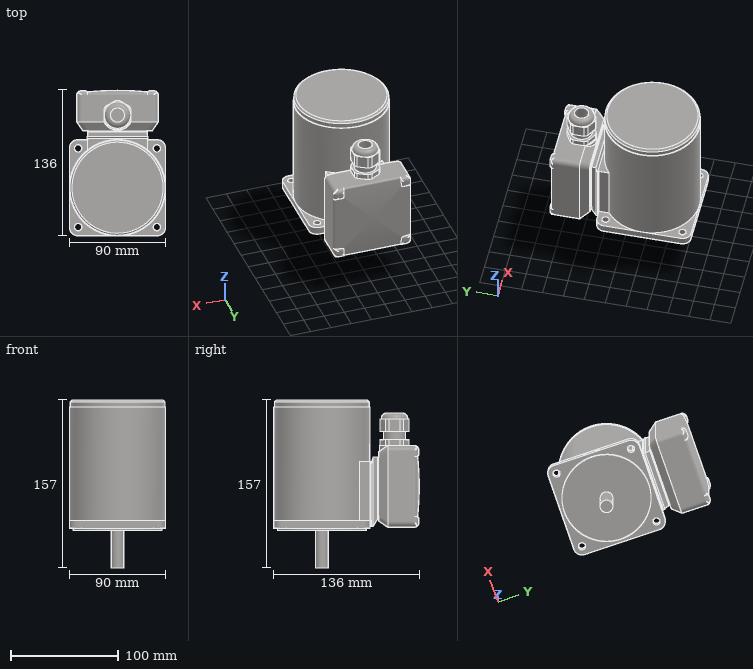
import cadquery as cq
import math

flange_side = 90.0
overall_depth = 136.0
flange_corner_radius = 8.2
flange_hole_offset = 36.7
flange_hole_diameter = 6.6
shaft_radius = 6.0
spigot_radius = 41.6
housing_radius = flange_side / 2
cap_radius = 44.5
cap_chamfer = 1.9

spigot_bottom = 35.0
flange_bottom = 37.0
flange_top = 44.6
cap_bottom = 150.2
motor_top = 157.0

pad_half_width = 28.0
pad_shoulder_y = flange_side / 2
pad_tip_half_width = 27.6
pad_face_y = 46.0
pad_bottom = flange_top
pad_top = 99.5

box_side = 76.5
box_center_z = 76.3
box_corner_radius = 5.2
box_front_y = 53.0
box_bevel_end_y = 61.5
box_bevel_inset = 5.8
box_rear_y = 86.0
box_half = box_side / 2
box_top = box_center_z + box_half

base_lip_y = 47.9
base_rear_y = 52.1
base_top = 104.0
base_top_at_pad = 97.3
base_bottom = 39.0
base_bottom_at_rear = 45.7
base_lip_half_width = 28.5
base_half_width_at_lip = 28.1
base_half_width_at_rear = 27.8
neck_half_width = 27.5
neck_bottom = 48.7
neck_top = 103.6

lid_peak_y = overall_depth - flange_side / 2
lid_rim_y = 88.5
lid_rim_inset = 1.9
lid_boss_rear_y = 90.6
lid_boss_side = 10.2
lid_boss_edge_radius = 4.4
lid_boss_inner_radius = 2.4

gland_y = 67.8
gland_boss_radius = 14.1
nut_across_flats = 25.3
nut_corner_radius = 13.7
gland_neck_radius = 10.4
lower_nut_top = 120.0
upper_nut_bottom = 127.5
upper_nut_top = 139.4
dome_base_radius = 12.4
dome_top_radius = 7.5
dome_top = 144.9
gland_bore_radius = 6.6


def disc(radius, bottom, top, y=0):
    """Vertical cylinder between two heights."""
    return cq.Workplane("XY", origin=(0, y, bottom)).circle(radius).extrude(top - bottom)


def slab(half_width, front_y, rear_y, bottom, top):
    """Upright block centred on X = 0."""
    return (
        cq.Workplane("XY", origin=(0, 0, bottom))
        .center(0, (front_y + rear_y) / 2)
        .rect(2 * half_width, rear_y - front_y)
        .extrude(top - bottom)
    )


def make_flange():
    span = 2 * flange_hole_offset
    return (
        cq.Workplane("XY", origin=(0, 0, flange_bottom))
        .rect(flange_side, flange_side)
        .extrude(flange_top - flange_bottom)
        .edges("|Z")
        .fillet(flange_corner_radius)
        .faces(">Z")
        .workplane(origin=(0, 0, flange_top))
        .rect(span, span, forConstruction=True)
        .vertices()
        .hole(flange_hole_diameter)
    )


def make_pad():
    """Mounting pad for the terminal box, slightly narrower past the flange edge."""
    pad = slab(pad_half_width, 0, pad_shoulder_y, pad_bottom, pad_top)
    tip = slab(pad_tip_half_width, pad_shoulder_y, pad_face_y, pad_bottom, pad_top)
    return pad.union(tip).clean()


def make_motor():
    shaft = disc(shaft_radius, 0, flange_bottom)
    spigot = disc(spigot_radius, spigot_bottom, flange_bottom)
    housing = disc(housing_radius, flange_top, cap_bottom)
    cap = disc(cap_radius, cap_bottom, motor_top).faces(">Z").chamfer(cap_chamfer)
    return make_flange().union(spigot).union(shaft).union(housing).union(cap).union(make_pad())


def rounded_square(side):
    return cq.Sketch().rect(side, side).vertices().fillet(box_corner_radius)


def box_plane(y):
    """Upright plane centred on the box that faces away from the motor."""
    return cq.Workplane(cq.Plane(origin=(0, y, box_center_z), xDir=(-1, 0, 0), normal=(0, 1, 0)))


def box_slab(front_y, rear_y):
    """Block with the full rounded outline of the box."""
    return box_plane(front_y).placeSketch(rounded_square(box_side)).extrude(rear_y - front_y)


def make_box_shell():
    front_outline = rounded_square(box_side - 2 * box_bevel_inset)
    bevel_shift = cq.Location(cq.Vector(0, 0, box_bevel_end_y - box_front_y))
    rear_outline = rounded_square(box_side).moved(bevel_shift)
    bevel = box_plane(box_front_y).placeSketch(front_outline, rear_outline).loft(ruled=True)
    return box_slab(box_bevel_end_y, box_rear_y).union(bevel)


def make_base():
    """Sloping side profile trimmed to a flared plan outline, with the neck on its rear face."""
    side_profile = (
        cq.Workplane("YZ")
        .polyline([
            (base_rear_y, base_top),
            (base_lip_y, base_top),
            (pad_face_y, base_top_at_pad),
            (pad_face_y, base_bottom),
            (base_lip_y, base_bottom),
            (base_rear_y, base_bottom_at_rear),
        ])
        .close()
        .extrude(base_lip_half_width, both=True)
    )
    plan_outline = (
        cq.Workplane("XY", origin=(0, 0, base_bottom))
        .polyline([
            (-base_lip_half_width, pad_face_y),
            (base_lip_half_width, pad_face_y),
            (base_lip_half_width, base_lip_y),
            (base_half_width_at_lip, base_lip_y),
            (base_half_width_at_rear, base_rear_y),
            (-base_half_width_at_rear, base_rear_y),
            (-base_half_width_at_lip, base_lip_y),
            (-base_lip_half_width, base_lip_y),
        ])
        .close()
        .extrude(base_top - base_bottom)
    )
    neck = slab(neck_half_width, base_rear_y, box_front_y, neck_bottom, neck_top)
    return side_profile.intersect(plan_outline).union(neck)


def lid_vault():
    """Shallow vault across X with rounded rims, centred on the height of the box."""
    rim = box_half - lid_rim_inset
    rim_height = lid_rim_y - box_rear_y
    diagonal = math.sqrt(0.5)
    arc_x = rim + lid_rim_inset * diagonal
    arc_y = box_rear_y + rim_height * diagonal
    return (
        cq.Workplane("XY", origin=(0, 0, box_center_z))
        .moveTo(-box_half, box_rear_y)
        .lineTo(box_half, box_rear_y)
        .threePointArc((arc_x, arc_y), (rim, lid_rim_y))
        .threePointArc((0, lid_peak_y), (-rim, lid_rim_y))
        .threePointArc((-arc_x, arc_y), (-box_half, box_rear_y))
        .close()
        .extrude(box_half, both=True)
    )


def make_lid():
    """Crossing vaults give a low dome with a level rim; bosses stand at its corners."""
    height = lid_boss_rear_y - box_rear_y
    outline = box_slab(box_rear_y, lid_peak_y)
    crossed = lid_vault().rotate((0, 0, box_center_z), (0, 1, box_center_z), 90)
    lid = lid_vault().intersect(crossed).intersect(outline)

    plate = box_slab(box_rear_y, lid_boss_rear_y)
    plate = plate.faces(">Y").edges().fillet(lid_boss_edge_radius)
    post_side = 2 * lid_boss_side
    for x_sign in (-1, 1):
        for z_sign in (-1, 1):
            post = (
                cq.Workplane("XY")
                .box(post_side, 2 * height, post_side)
                .edges("|Y or >Y")
                .fillet(lid_boss_inner_radius)
                .translate((x_sign * box_half, box_rear_y, box_center_z + z_sign * box_half))
            )
            lid = lid.union(post.intersect(plate))
    return lid


def make_nut(bottom, top):
    """Hexagon with flats facing X and its corners turned round."""
    across_corners = nut_across_flats / math.cos(math.pi / 6)
    hexagon = (
        cq.Workplane("XY", origin=(0, gland_y, bottom))
        .polygon(6, across_corners)
        .extrude(top - bottom)
        .rotate((0, gland_y, 0), (0, gland_y, 1), 90)
    )
    return hexagon.intersect(disc(nut_corner_radius, bottom, top, gland_y))


def make_gland_dome():
    width = dome_base_radius - dome_top_radius
    height = dome_top - upper_nut_top
    diagonal = math.sqrt(0.5)
    arc_middle = (dome_top_radius + width * diagonal, upper_nut_top + height * diagonal)
    return (
        cq.Workplane("XZ", origin=(0, gland_y, 0))
        .moveTo(0, upper_nut_top)
        .lineTo(dome_base_radius, upper_nut_top)
        .threePointArc(arc_middle, (dome_top_radius, dome_top))
        .lineTo(0, dome_top)
        .close()
        .revolve(360, (0, 0, 0), (0, 1, 0))
    )


def make_gland():
    boss = disc(gland_boss_radius, box_top - box_bevel_inset, box_top, gland_y)
    neck = disc(gland_neck_radius, box_top, upper_nut_bottom, gland_y)
    gland = boss.union(neck)
    gland = gland.union(make_nut(box_top, lower_nut_top))
    gland = gland.union(make_nut(upper_nut_bottom, upper_nut_top))
    gland = gland.union(make_gland_dome())
    return gland.cut(disc(gland_bore_radius, box_top, dome_top, gland_y))


def make_terminal_box():
    return make_box_shell().union(make_base()).union(make_lid()).union(make_gland())


motor = make_motor()
terminal_box = make_terminal_box()

result = cq.Compound.makeCompound([motor.val(), terminal_box.val()])